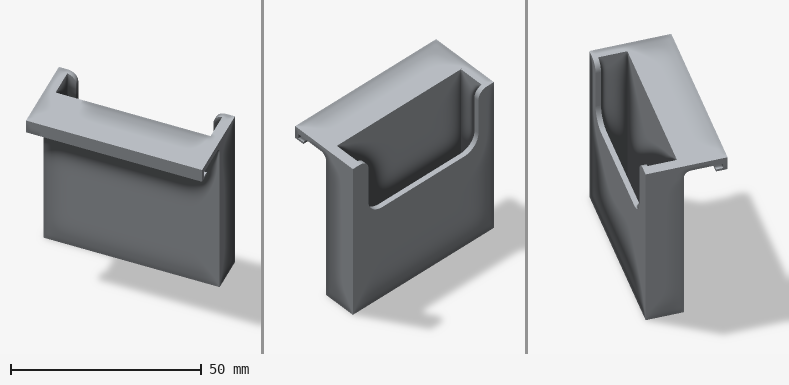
import cadquery as cq

width = 50.0
height = 52.0
block_depth = 10.5

overall_depth = 22.5
flange_thickness = 2.0
hook_wall = 1.2
hook_gap = 1.5
lip_thickness = 0.7
lip_length = 2.0
corner_radius = 2.0

side_wall = 3.0
front_wall = 1.0
back_wall = 1.5
floor_thickness = 1.5

cutout_top_wall = 2.5
shoulder_radius = 3.0
base_radius = 5.0
cutout_depth = 20.0

block_front = -block_depth
flange_front = -overall_depth
pocket_front = block_front + front_wall


def hooked_block():
    """Side profile of block, flange and hook, extruded across the full width."""
    flange_underside = height - flange_thickness
    lip_top = flange_underside - hook_gap
    hook_inside = flange_front + hook_wall
    profile = (
        cq.Workplane("YZ")
        .moveTo(0, 0)
        .lineTo(0, height)
        .lineTo(flange_front, height)
        .lineTo(flange_front, lip_top - lip_thickness)
        .lineTo(hook_inside + lip_length, lip_top - lip_thickness)
        .lineTo(hook_inside + lip_length, lip_top)
        .lineTo(hook_inside, lip_top)
        .lineTo(hook_inside, flange_underside)
        .lineTo(block_front - corner_radius, flange_underside)
        .radiusArc((block_front, flange_underside - corner_radius), corner_radius)
        .lineTo(block_front, 0)
        .close()
    )
    return profile.extrude(width / 2, both=True)


def pocket():
    """Rectangular pocket from the floor up through the top face."""
    return cq.Workplane("XY").box(
        width - 2 * side_wall,
        block_depth - front_wall - back_wall,
        height - floor_thickness,
        centered=(True, False, False),
    ).translate((0, pocket_front, floor_thickness))


def finger_cutout():
    """Cutout with rounded shoulders and rounded base corners, from the pocket front to the back face."""
    top_half = width / 2 - cutout_top_wall
    side_half = top_half - shoulder_radius
    base_half = side_half - base_radius
    shoulder_z = height - shoulder_radius
    base_z = height - cutout_depth
    profile = (
        cq.Workplane("XZ")
        .moveTo(-top_half, height)
        .radiusArc((-side_half, shoulder_z), shoulder_radius)
        .lineTo(-side_half, base_z + base_radius)
        .radiusArc((-base_half, base_z), -base_radius)
        .lineTo(base_half, base_z)
        .radiusArc((side_half, base_z + base_radius), -base_radius)
        .lineTo(side_half, shoulder_z)
        .radiusArc((top_half, height), shoulder_radius)
        .close()
    )
    return profile.extrude(-pocket_front)


result = hooked_block().cut(pocket()).cut(finger_cutout())